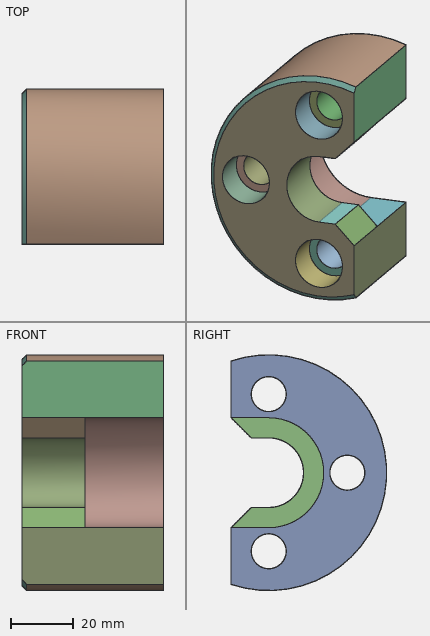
import cadquery as cq

outer_radius = 37.5
length = 45.0
flat_offset = 12.0
chamfer_size = 1.5

narrow_radius = 11.0
wide_radius = 17.5
narrow_length = 20.0

hole_diameter = 11.0
hole_pitch_radius = 25.0
counterbore_diameter = 16.05
counterbore_depth = 12.0


def cylinder_along_x(radius, start, depth, y=0.0, z=0.0):
    return cq.Workplane("YZ", origin=(start, y, z)).circle(radius).extrude(depth)


def make_body():
    body = cylinder_along_x(outer_radius, 0, length).faces("<X").chamfer(chamfer_size)
    keep_depth = outer_radius + flat_offset
    keep = cq.Workplane("XY").box(length, keep_depth, 2 * outer_radius, centered=(False, False, True))
    return body.intersect(keep.translate((0, -flat_offset, 0)))


def make_narrow_channel():
    """Round-bottomed slot whose mouth flares at 45 degrees to the wide bore height."""
    flare_start = flat_offset - (wide_radius - narrow_radius)
    return (
        cq.Workplane("YZ")
        .moveTo(-flat_offset, wide_radius)
        .lineTo(-flare_start, narrow_radius)
        .lineTo(0, narrow_radius)
        .threePointArc((narrow_radius, 0), (0, -narrow_radius))
        .lineTo(-flare_start, -narrow_radius)
        .lineTo(-flat_offset, -wide_radius)
        .close()
        .extrude(narrow_length)
    )


def make_wide_channel():
    """Round-bottomed slot with straight sides, open to the flat."""
    return (
        cq.Workplane("YZ", origin=(narrow_length, 0, 0))
        .moveTo(-flat_offset, wide_radius)
        .lineTo(0, wide_radius)
        .threePointArc((wide_radius, 0), (0, -wide_radius))
        .lineTo(-flat_offset, -wide_radius)
        .close()
        .extrude(length - narrow_length)
    )


result = make_body().cut(make_narrow_channel()).cut(make_wide_channel())

for y_direction, z_direction in ((0, 1), (1, 0), (0, -1)):
    y = y_direction * hole_pitch_radius
    z = z_direction * hole_pitch_radius
    result = result.cut(cylinder_along_x(hole_diameter / 2, 0, length, y, z))
    result = result.cut(cylinder_along_x(counterbore_diameter / 2, 0, counterbore_depth, y, z))